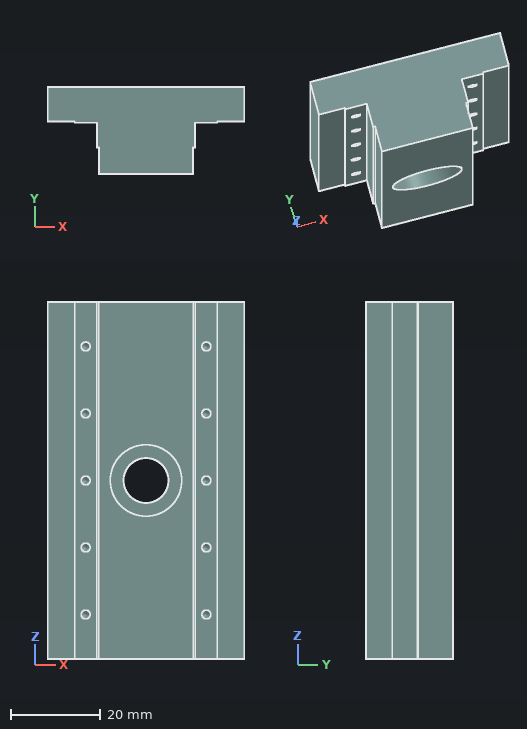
import cadquery as cq
import math

length = 80.0
flange_width = 44.0
depth = 19.5

pad_thickness = 8.1
pad_height = 0.3
flange_thickness = pad_thickness - pad_height
pad_outer_width = 32.0
stem_width = 22.0
stem_relief = 0.5
relief_start = 13.6

bore_diameter = 10.0
counterbore_diameter = 16.0
counterbore_depth = 10.0

pilot_diameter = 2.0
pilot_depth = 4.8
drill_point_angle = 118.0
pilots_per_row = 5
pilot_end_margin = 10.0
pilot_pitch = (length - 2 * pilot_end_margin) / (pilots_per_row - 1)
pilot_x = (stem_width + pad_outer_width) / 4

back_y = depth / 2
front_y = -depth / 2
pad_y = back_y - pad_thickness


def make_body():
    """Extrude the symmetric T section along Z."""
    half_section = (
        cq.Workplane("XY", origin=(0, 0, -length / 2))
        .moveTo(0, back_y)
        .lineTo(flange_width / 2, back_y)
        .lineTo(flange_width / 2, back_y - flange_thickness)
        .lineTo(pad_outer_width / 2, back_y - flange_thickness)
        .lineTo(pad_outer_width / 2, pad_y)
        .lineTo(stem_width / 2, pad_y)
        .lineTo(stem_width / 2, back_y - relief_start)
        .lineTo(stem_width / 2 - stem_relief, back_y - relief_start)
        .lineTo(stem_width / 2 - stem_relief, front_y)
        .lineTo(0, front_y)
    )
    return half_section.mirrorY().extrude(length)


def cylinder_from_front(diameter, cylinder_depth):
    """Cylinder along +Y that starts on the front face at the center."""
    start = cq.Vector(0, front_y, 0)
    solid = cq.Solid.makeCylinder(diameter / 2, cylinder_depth, start, cq.Vector(0, 1, 0))
    return cq.Workplane(solid)


def make_pilot_hole(x, z):
    """Drilled hole with a conical bottom, going in from the strip face."""
    radius = pilot_diameter / 2
    point_length = radius / math.tan(math.radians(drill_point_angle / 2))
    inward = cq.Vector(0, 1, 0)
    shank = cq.Solid.makeCylinder(radius, pilot_depth, cq.Vector(x, pad_y, z), inward)
    point = cq.Solid.makeCone(radius, 0, point_length, cq.Vector(x, pad_y + pilot_depth, z), inward)
    return cq.Workplane(shank).union(cq.Workplane(point))


result = make_body()
result = result.cut(cylinder_from_front(bore_diameter, depth))
result = result.cut(cylinder_from_front(counterbore_diameter, counterbore_depth))

for side in (-1, 1):
    for row in range(pilots_per_row):
        hole_z = -length / 2 + pilot_end_margin + row * pilot_pitch
        result = result.cut(make_pilot_hole(side * pilot_x, hole_z))